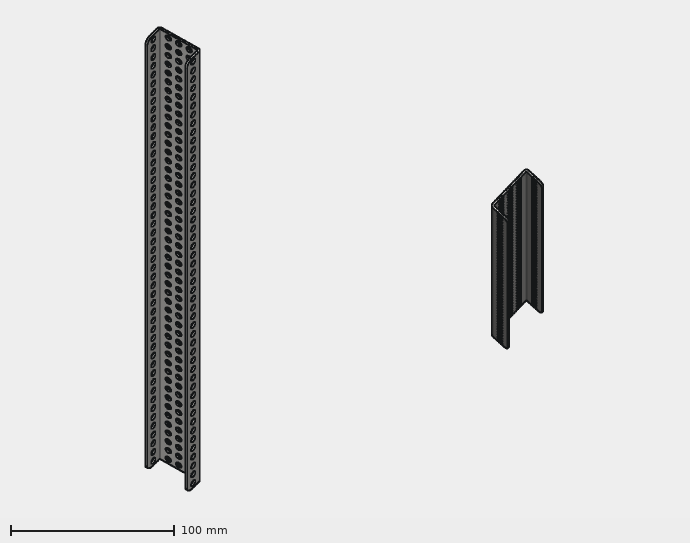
import cadquery as cq

length = 392.0
row_count = 49
pitch = length / row_count
web_column_count = 3
hole_radius = 2.1

width = 32.0
flange_edge_distance = 6.3
depth = flange_edge_distance + pitch
flange_hole_y = flange_edge_distance - depth / 2
wall = 1.5
inner_bend_radius = 0.5
outer_bend_radius = inner_bend_radius + wall
flange_corner_radius = 4.7


def make_rounded_bar(bar_width, bend_radius):
    """Full-length bar with its two +Y long edges rounded."""
    bar = cq.Workplane("XY").box(bar_width, depth, length)
    return bar.edges("|Z and >Y").fillet(bend_radius)


def make_channel():
    """Bent U section, open toward -Y and centred on the origin."""
    outside = make_rounded_bar(width, outer_bend_radius)
    inside = make_rounded_bar(width - 2 * wall, inner_bend_radius)
    return outside.cut(inside.translate((0, -wall, 0)))


def round_flange_corners(channel):
    """Round the free corners at both ends of the two flanges."""
    return channel.faces("<Z or >Z").edges("|X and <Y").fillet(flange_corner_radius)


def make_web_drills():
    """Grid of drills running along Y through the web."""
    grid = cq.Workplane("XZ").rarray(pitch, pitch, web_column_count, row_count)
    return grid.circle(hole_radius).extrude(depth, both=True)


def make_flange_drills():
    """Single column of drills running along X through both flanges."""
    column = cq.Workplane("YZ").center(flange_hole_y, 0).rarray(pitch, pitch, 1, row_count)
    return column.circle(hole_radius).extrude(width, both=True)


blank = round_flange_corners(make_channel())
result = blank.cut(make_web_drills()).cut(make_flange_drills()).solids()